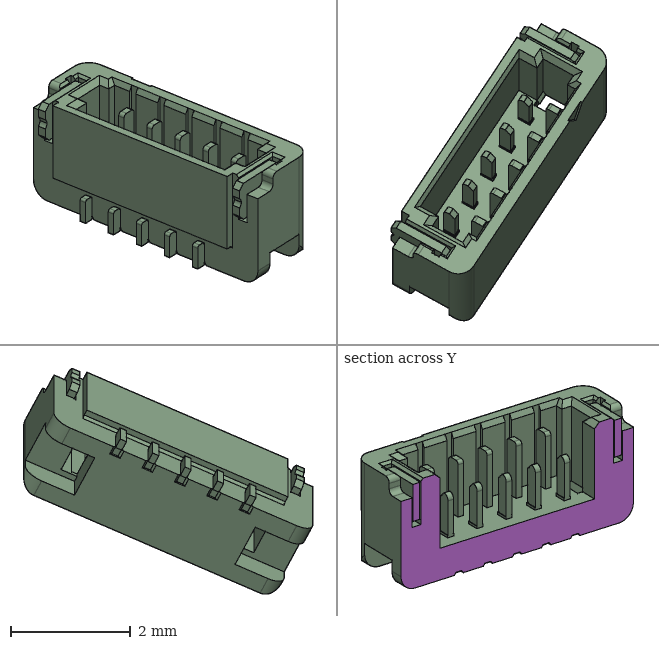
import cadquery as cq
import math

LENGTH = 4.8
HEIGHT = 2.0
BODY_DEPTH = 1.4
OVERALL_DEPTH = 1.58
CORNER_RADIUS = 0.3
BACK = 0.0
BODY_FRONT = -BODY_DEPTH
SOLDER_FACE = -OVERALL_DEPTH
HALF_LENGTH = LENGTH / 2
CUT_MARGIN = 0.095

PANEL_LENGTH = 3.725
PANEL_PROUD = 0.15
PANEL_BOTTOM = 0.6
PANEL_ROOT = 0.05
PANEL_BEVEL = 0.05

CAVITY_HALF = 1.59
CAVITY_BACK = -0.25
CAVITY_FRONT = -1.35
FLOOR = 0.6
LEAD_IN = 0.1
LEAD_IN_SIDE = 0.055

KEY_HALF = 1.785
KEY_BACK = -0.405
KEY_FRONT = -0.995
KEY_LEAD_IN_RUN = 0.115
WINDOW_INNER = 1.49
WINDOW_RAMP = 0.055

POCKET_HEIGHT = 0.51
POCKET_BACK = -CORNER_RADIUS
POCKET_FRONT = -1.075

CLIP_CENTER = 2.08
CLIP_WIDTH = 0.15
CLIP_TOP = HEIGHT - 0.06
CLIP_BOTTOM = HEIGHT - 0.755
CLIP_BEVEL = 0.1
CLIP_NOTCH_TOP = HEIGHT - 0.31
CLIP_NOTCH_BOTTOM = HEIGHT - 0.49
CLIP_NOTCH_DEPTH = 0.05
CLIP_NOTCH_RADIUS = 0.145
SLOT_WIDTH = 0.18
SLOT_BACK = -0.495
SLOT_FLOOR = HEIGHT - 0.85
SLOT_BEVEL = 0.05
BARB_REACH = 2.255
BARB_BACK = -0.58
BARB_FRONT = -0.725
LEDGE_DROP = 0.3
LEDGE_RADIUS = LEDGE_DROP / 3
LEDGE_WALL = -1.0
LEDGE_INNER = CLIP_CENTER

PITCH = 0.6
CONTACTS = 5
CONTACT_WIDTH = 0.115
CLEARANCE_WIDTH = 0.13
REAR_PIN_BACK = -0.29
REAR_PIN_FRONT = -0.55
REAR_PIN_TOP = 1.63
REAR_PIN_BEVEL = 0.045
REAR_PIN_RADIUS = 0.06
GROOVE_BACK = CAVITY_BACK + LEAD_IN_SIDE
FRONT_PIN_BACK = -0.88
FRONT_PIN_FRONT = -1.095
FRONT_PIN_TOP = 1.39
FRONT_PIN_BEVEL = 0.1
FRONT_PIN_RADIUS = 0.105
FOOT_BACK = -0.86
FOOT_HEIGHT = 0.05
TAIL_HEIGHT = 0.445
TAIL_FILLET = 0.045
MOUTH_FLARE = 0.04
MOUTH_HEIGHT = 0.05
MOUTH_DEPTH = 0.15

MARK_CENTER = -1.2
MARK_WIDTH = 0.405
MARK_DEPTH = 0.035

contact_places = [(i - (CONTACTS - 1) / 2) * PITCH for i in range(CONTACTS)]


def block(x0, x1, y0, y1, z0, z1):
    """Box between two opposite corners."""
    return cq.Workplane("XY").box(x1 - x0, y1 - y0, z1 - z0, centered=False).translate((x0, y0, z0))


def funnel(x0, x1, y0, y1, depth, run_x, run_y):
    """Bevelled mouth that widens from the given rectangle up to the top face."""
    mouth = cq.Workplane("XY", origin=((x0 + x1) / 2, (y0 + y1) / 2, HEIGHT - depth))
    return (
        mouth.rect(x1 - x0, y1 - y0)
        .workplane(offset=depth)
        .rect(x1 - x0 + 2 * run_x, y1 - y0 + 2 * run_y)
        .loft(ruled=True)
    )


def side_profile(x_center, width):
    """Workplane for a Y-Z outline extruded symmetrically to the given width."""
    return cq.Workplane("YZ", origin=(x_center - width / 2, 0, 0))


def on_both_ends(feature):
    """A right-end feature together with its mirror image."""
    return feature.union(feature.mirror("YZ"))


def housing():
    body = block(-HALF_LENGTH, HALF_LENGTH, BODY_FRONT, BACK, 0, HEIGHT)
    bottom_rounded = body.edges("|Y and <Z").fillet(CORNER_RADIUS)
    back_rounded = body.edges("|Z and >Y").fillet(CORNER_RADIUS)
    return bottom_rounded.intersect(back_rounded).union(front_panel())


def front_panel():
    face = BODY_FRONT - PANEL_PROUD
    root = BODY_FRONT + PANEL_ROOT
    return (
        side_profile(0, PANEL_LENGTH)
        .moveTo(root, HEIGHT)
        .lineTo(face, HEIGHT)
        .lineTo(face, PANEL_BOTTOM)
        .lineTo(BODY_FRONT - PANEL_BEVEL, PANEL_BOTTOM)
        .lineTo(BODY_FRONT, PANEL_BOTTOM - PANEL_BEVEL)
        .lineTo(root, PANEL_BOTTOM - PANEL_BEVEL)
        .close()
        .extrude(PANEL_LENGTH)
    )


def cavity():
    main = block(-CAVITY_HALF, CAVITY_HALF, CAVITY_FRONT, CAVITY_BACK, FLOOR, HEIGHT)
    mouth = funnel(-CAVITY_HALF, CAVITY_HALF, CAVITY_FRONT, CAVITY_BACK, LEAD_IN, LEAD_IN, LEAD_IN_SIDE)
    keys = block(-KEY_HALF, KEY_HALF, KEY_FRONT, KEY_BACK, FLOOR, HEIGHT)
    key_mouth = funnel(-KEY_HALF, KEY_HALF, KEY_FRONT, KEY_BACK, LEAD_IN, LEAD_IN, KEY_LEAD_IN_RUN)
    opening = main.union(mouth).union(keys).union(key_mouth)
    for x in contact_places:
        half = CLEARANCE_WIDTH / 2
        opening = opening.union(block(x - half, x + half, KEY_BACK, GROOVE_BACK, FLOOR, HEIGHT))
    return opening


def floor_windows():
    window = block(WINDOW_INNER, KEY_HALF, KEY_FRONT, KEY_BACK, 0, FLOOR)
    ramp = (
        cq.Workplane("YZ", origin=(CAVITY_HALF, 0, 0))
        .moveTo(KEY_FRONT, FLOOR)
        .lineTo(KEY_FRONT + WINDOW_RAMP, POCKET_HEIGHT)
        .lineTo(KEY_FRONT, POCKET_HEIGHT)
        .close()
        .extrude(KEY_HALF - CAVITY_HALF)
    )
    return on_both_ends(window.cut(ramp))


def end_pockets():
    outer = HALF_LENGTH + CUT_MARGIN
    return on_both_ends(block(WINDOW_INNER, outer, POCKET_FRONT, POCKET_BACK, -CUT_MARGIN, POCKET_HEIGHT))


def clip_slots():
    inner = CLIP_CENTER - SLOT_WIDTH / 2
    outer = CLIP_CENTER + SLOT_WIDTH / 2
    front = BODY_FRONT - CUT_MARGIN
    slot = block(inner, outer, front, SLOT_BACK, SLOT_FLOOR, HEIGHT)
    mouth = funnel(inner, outer, front, SLOT_BACK, SLOT_BEVEL, SLOT_BEVEL, SLOT_BEVEL)
    barb_relief = block(CLIP_CENTER, BARB_REACH, BARB_FRONT, BARB_BACK, CLIP_BOTTOM, HEIGHT)
    return on_both_ends(slot.union(mouth).union(barb_relief))


def end_ledges():
    """Stepped cut with a rounded crest and root beside each clip."""
    r = LEDGE_RADIUS
    ledge = HEIGHT - LEDGE_DROP
    width = HALF_LENGTH + CUT_MARGIN - LEDGE_INNER
    front = BODY_FRONT - CUT_MARGIN
    step = (
        cq.Workplane("YZ", origin=(LEDGE_INNER, 0, 0))
        .moveTo(LEDGE_WALL + r, HEIGHT)
        .radiusArc((LEDGE_WALL, HEIGHT - r), -r)
        .lineTo(LEDGE_WALL, ledge + r)
        .radiusArc((LEDGE_WALL - r, ledge), r)
        .lineTo(front, ledge)
        .lineTo(front, HEIGHT)
        .close()
        .extrude(width)
    )
    return on_both_ends(step)


def clips():
    notch_mid = (CLIP_NOTCH_TOP + CLIP_NOTCH_BOTTOM) / 2
    b = CLIP_BEVEL
    clip = (
        side_profile(CLIP_CENTER, CLIP_WIDTH)
        .moveTo(SLOT_BACK, CLIP_BOTTOM)
        .lineTo(SLOT_BACK, CLIP_TOP - b)
        .lineTo(SLOT_BACK - b, CLIP_TOP)
        .lineTo(SOLDER_FACE + b, CLIP_TOP)
        .lineTo(SOLDER_FACE, CLIP_TOP - b)
        .lineTo(SOLDER_FACE, CLIP_NOTCH_TOP)
        .radiusArc((SOLDER_FACE + CLIP_NOTCH_DEPTH, notch_mid), CLIP_NOTCH_RADIUS)
        .radiusArc((SOLDER_FACE, CLIP_NOTCH_BOTTOM), CLIP_NOTCH_RADIUS)
        .lineTo(SOLDER_FACE, CLIP_BOTTOM + b)
        .lineTo(SOLDER_FACE + b, CLIP_BOTTOM)
        .close()
        .extrude(CLIP_WIDTH)
    )
    return on_both_ends(clip)


def pin(x, back, front, top, bevel, radius):
    """Upright contact with a bevelled rear edge and a rounded front edge."""
    return (
        side_profile(x, CONTACT_WIDTH)
        .moveTo(back, 0)
        .lineTo(back, top - bevel)
        .lineTo(back - bevel, top)
        .lineTo(front + radius, top)
        .radiusArc((front, top - radius), -radius)
        .lineTo(front, 0)
        .close()
        .extrude(CONTACT_WIDTH)
    )


def tail(x):
    half = CONTACT_WIDTH / 2
    bar = block(x - half, x + half, SOLDER_FACE, BODY_FRONT, 0, TAIL_HEIGHT)
    return bar.edges("|X and >Z").fillet(TAIL_FILLET)


def tail_mouth(x):
    """Flared relief under the front edge around a tail."""
    half = CONTACT_WIDTH / 2
    return (
        cq.Workplane("XZ", origin=(x, BODY_FRONT + MOUTH_DEPTH, 0))
        .moveTo(-half - MOUTH_FLARE, 0)
        .lineTo(-half, MOUTH_HEIGHT)
        .lineTo(half, MOUTH_HEIGHT)
        .lineTo(half + MOUTH_FLARE, 0)
        .close()
        .extrude(MOUTH_DEPTH)
    )


def back_mark():
    """Equilateral recess pointing down from the top edge."""
    half = MARK_WIDTH / 2
    return (
        cq.Workplane("XZ", origin=(MARK_CENTER, BACK, 0))
        .moveTo(-half, HEIGHT)
        .lineTo(half, HEIGHT)
        .lineTo(0, HEIGHT - half * math.sqrt(3))
        .close()
        .extrude(MARK_DEPTH)
    )


def contact_pair(x):
    """Rear pin, front pin with its foot, and the solder tail at one contact position."""
    half_foot = CLEARANCE_WIDTH / 2
    foot = block(x - half_foot, x + half_foot, FRONT_PIN_FRONT, FOOT_BACK, 0, FLOOR + FOOT_HEIGHT)
    rear = pin(x, REAR_PIN_BACK, REAR_PIN_FRONT, REAR_PIN_TOP, REAR_PIN_BEVEL, REAR_PIN_RADIUS)
    front = pin(x, FRONT_PIN_BACK, FRONT_PIN_FRONT, FRONT_PIN_TOP, FRONT_PIN_BEVEL, FRONT_PIN_RADIUS)
    return foot, rear, front, tail(x)


result = (
    housing()
    .cut(cavity())
    .cut(floor_windows())
    .cut(end_pockets())
    .cut(clip_slots())
    .cut(end_ledges())
    .cut(back_mark())
    .union(clips())
)
for contact_x in contact_places:
    result = result.cut(tail_mouth(contact_x))
    for piece in contact_pair(contact_x):
        result = result.union(piece)